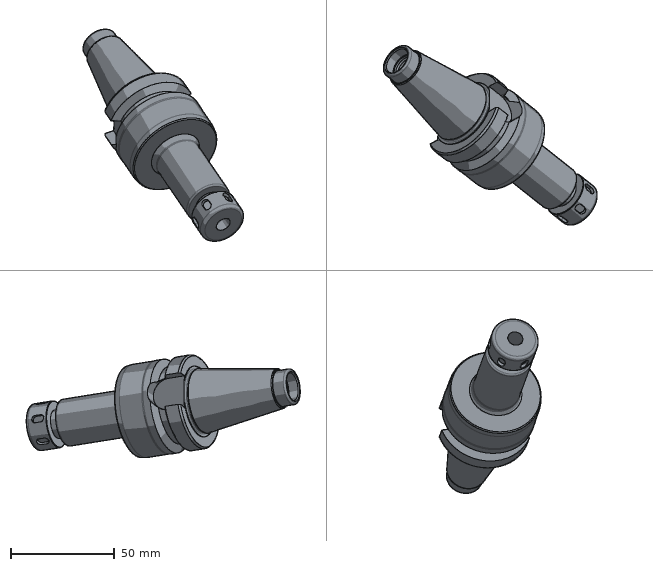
import cadquery as cq
import math

total_length = 138.4

pilot_dia = 17.6
pilot_round = 1.0
taper_start = 6.6
taper_end = 48.6
taper_big_dia = 31.7
taper_ratio = 7 / 24
taper_edge = 0.4
relief_dia = 30.5
relief_slope = 0.7

flange_face = 50.2
flange_dia = 46.0
flange_chamfer_length = 1.1
flange_chamfer_depth = 0.7
face_recess_dia = 34.6
face_recess_depth = 0.4
recess_fillet = 0.7
groove_center = 62.0
groove_floor_width = 3.3
groove_dia = 37.9
groove_wall_angle = 62.0

rim_end = 69.5
body_start = 70.2
body_dia = 45.7
body_taper_start = 82.2
body_end = 85.3
body_end_dia = 45.0
body_end_chamfer = 0.5

shank_dia = 23.0
blend_length = 2.9
blend_height = 1.2
collar_end = 88.7
collar_step = 0.1
shank_end = 122.3
shank_end_round = 0.8
neck_dia = 14.0
nut_start = 126.9
nut_dia = shank_dia
nut_back_chamfer = 0.3
nut_front_round = 1.7

drive_width = 16.0
drive_floor = 16.3
drive_end = 67.1

wrench_count = 6
wrench_width = 3.7
wrench_length = 6.4
wrench_center = 131.6
wrench_depth = 1.7

bore_dia = 13.4
mouth_chamfer = 0.5
thread_entry_dia = 12.0
thread_dia = 10.5
through_dia = 7.3
bore_depth = 5.5
thread_entry_length = 1.1
thread_depth = 27.7
drill_point_angle = 118.0


def outer_body():
    """Everything that is round on the outside, turned from one half profile."""
    pilot_r = pilot_dia / 2
    taper_small_r = taper_big_dia / 2 - taper_ratio * (taper_end - taper_start) / 2
    flange_r = flange_dia / 2
    groove_r = groove_dia / 2
    recess_floor = flange_face + face_recess_depth
    wall_run = (flange_r - groove_r) / math.tan(math.radians(groove_wall_angle))
    floor_half = groove_floor_width / 2
    shank_r = shank_dia / 2
    collar_r = shank_r + collar_step
    nut_r = nut_dia / 2
    blend_radius = (blend_length**2 + blend_height**2) / (2 * blend_height)
    blend_end = body_end + blend_length

    return (
        cq.Workplane("XY")
        .moveTo(0, 0)
        .lineTo(0, pilot_r - pilot_round)
        .radiusArc((pilot_round, pilot_r), pilot_round)
        .lineTo(taper_start, pilot_r)
        .lineTo(taper_start, taper_small_r - taper_edge)
        .lineTo(taper_start + taper_edge, taper_small_r + taper_ratio * taper_edge / 2)
        .lineTo(taper_end, taper_big_dia / 2)
        .lineTo(taper_end + relief_slope, relief_dia / 2)
        .lineTo(recess_floor - recess_fillet, relief_dia / 2)
        .radiusArc((recess_floor, relief_dia / 2 + recess_fillet), -recess_fillet)
        .lineTo(recess_floor, face_recess_dia / 2)
        .lineTo(flange_face, face_recess_dia / 2)
        .lineTo(flange_face, flange_r - flange_chamfer_depth)
        .lineTo(flange_face + flange_chamfer_length, flange_r)
        .lineTo(groove_center - floor_half - wall_run, flange_r)
        .lineTo(groove_center - floor_half, groove_r)
        .lineTo(groove_center + floor_half, groove_r)
        .lineTo(groove_center + floor_half + wall_run, flange_r)
        .lineTo(rim_end, flange_r)
        .lineTo(body_start, body_dia / 2)
        .lineTo(body_taper_start, body_dia / 2)
        .lineTo(body_end - body_end_chamfer, body_end_dia / 2)
        .lineTo(body_end, body_end_dia / 2 - body_end_chamfer)
        .lineTo(body_end, collar_r + blend_height)
        .radiusArc((blend_end, collar_r), -blend_radius)
        .lineTo(collar_end, shank_r)
        .lineTo(shank_end - shank_end_round, shank_r)
        .radiusArc((shank_end, shank_r - shank_end_round), shank_end_round)
        .lineTo(shank_end, neck_dia / 2)
        .lineTo(nut_start, neck_dia / 2)
        .lineTo(nut_start, nut_r - nut_back_chamfer)
        .lineTo(nut_start + nut_back_chamfer, nut_r)
        .lineTo(total_length - nut_front_round, nut_r)
        .radiusArc((total_length, nut_r - nut_front_round), nut_front_round)
        .lineTo(total_length, 0)
        .close()
        .revolve(360, (0, 0, 0), (1, 0, 0))
    )


def stepped_bore():
    """Pull-end counterbore, threaded length with a drill point, and the through hole."""
    thread_start = bore_depth + thread_entry_length
    thread_chamfer = (thread_entry_dia - thread_dia) / 2
    point_run = (thread_dia - through_dia) / 2 / math.tan(math.radians(drill_point_angle / 2))
    return (
        cq.Workplane("XY")
        .polyline(
            [
                (0, 0),
                (0, bore_dia / 2 + mouth_chamfer),
                (mouth_chamfer, bore_dia / 2),
                (bore_depth, bore_dia / 2),
                (bore_depth, thread_entry_dia / 2),
                (thread_start, thread_entry_dia / 2),
                (thread_start + thread_chamfer, thread_dia / 2),
                (thread_depth, thread_dia / 2),
                (thread_depth + point_run, through_dia / 2),
                (total_length, through_dia / 2),
                (total_length, 0),
            ]
        )
        .close()
        .revolve(360, (0, 0, 0), (1, 0, 0))
    )


def drive_slot():
    """Round-ended slot on the -Y side, open toward the pull end."""
    end_radius = drive_width / 2
    arc_center = drive_end - end_radius
    depth = flange_dia / 2 - drive_floor
    return (
        cq.Workplane("XZ", origin=(0, -drive_floor, 0))
        .moveTo(taper_end, -end_radius)
        .lineTo(arc_center, -end_radius)
        .threePointArc((drive_end, 0), (arc_center, end_radius))
        .lineTo(taper_end, end_radius)
        .close()
        .extrude(depth)
    )


def wrench_slot():
    """Flat-bottomed obround pocket on the -Y side of the nut."""
    floor = nut_dia / 2 - wrench_depth
    return (
        cq.Workplane("XZ", origin=(wrench_center, -floor, 0))
        .slot2D(wrench_length, wrench_width)
        .extrude(2 * wrench_depth)
    )


def around_axis(shape, angle):
    return shape.rotate((0, 0, 0), (1, 0, 0), angle)


result = outer_body().cut(stepped_bore())
for side in range(2):
    result = result.cut(around_axis(drive_slot(), 180 * side))
for index in range(wrench_count):
    result = result.cut(around_axis(wrench_slot(), 360 / wrench_count * index))